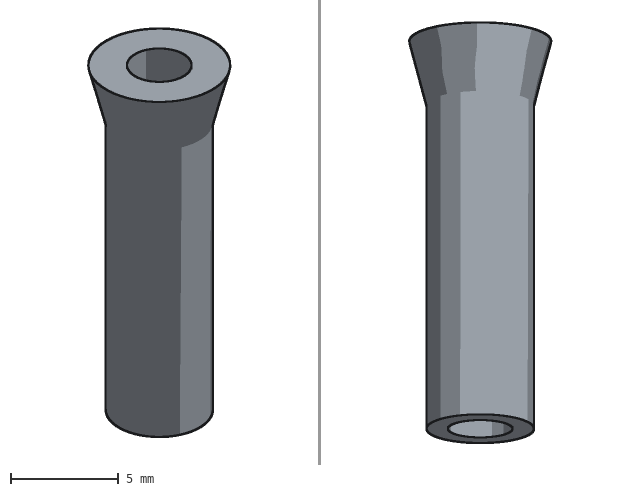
import cadquery as cq

total_height = 18.67
head_height = 3.1
shank_diameter = 5.0
head_diameter = 6.6
bore_diameter = 3.0

shank_height = total_height - head_height
bore_radius = bore_diameter / 2
shank_radius = shank_diameter / 2
head_radius = head_diameter / 2


def sleeve():
    """Half section of the sleeve on the -X side, revolved about Z."""
    half_section = (
        cq.Workplane("XZ")
        .moveTo(-bore_radius, 0)
        .lineTo(-shank_radius, 0)
        .lineTo(-shank_radius, shank_height)
        .lineTo(-head_radius, total_height)
        .lineTo(-bore_radius, total_height)
        .close()
    )
    return half_section.revolve(360, (0, 0, 0), (0, 1, 0))


result = sleeve()